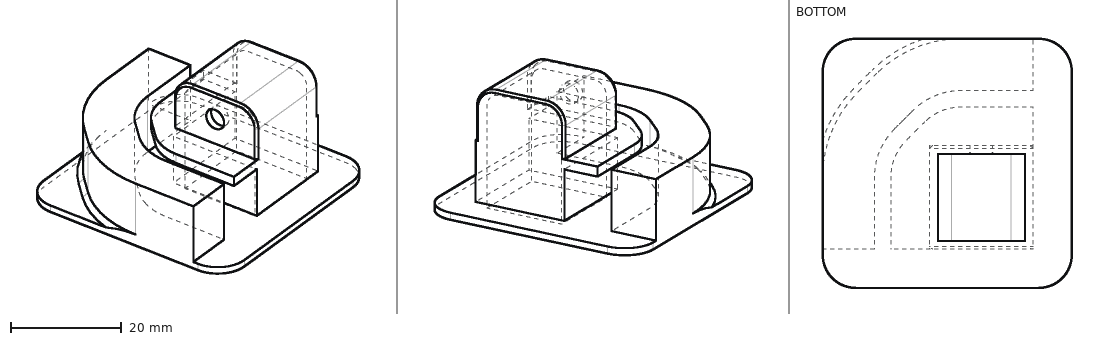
import cadquery as cq
import math

plate_size = 45
plate_corner_radius = 6.0
plate_thickness = 1.4

body_size = 38.0
body_top = 13.28
bend_start = 24.98
bend_radius = 21.6
flare_height = 1.0

rim_width = 9.35
slot_width = 2.95
lip_thickness = 1.95

block_size = 18.68
block_top = 23.7
block_corner_radius = 4.0
block_chamfer = 0.5
hole_diameter = 4.0
hole_height = 18.5
wall = 1.5

lip_inset = rim_width + slot_width
block_start = body_size - block_size
lip_bottom = body_top - lip_thickness


def bend_outline(inset, bottom):
    """Body outline moved inward by inset; its corner is two arcs joined by a 45 degree straight."""
    radius = bend_radius - inset
    diagonal = radius * math.sqrt(0.5)
    arc_middle = radius * math.cos(math.pi / 8)
    arc_rise = radius * math.sin(math.pi / 8)
    near = bend_radius - diagonal
    far = bend_start - diagonal
    return (
        cq.Workplane("XY", origin=(0, 0, bottom))
        .moveTo(body_size, body_size)
        .lineTo(inset, body_size)
        .lineTo(inset, bend_start)
        .threePointArc((bend_radius - arc_middle, bend_start - arc_rise), (near, far))
        .lineTo(far, near)
        .threePointArc((bend_start - arc_rise, bend_radius - arc_middle), (bend_start, inset))
        .lineTo(body_size, inset)
        .close()
    )


def bend_prism(inset, bottom, top):
    return bend_outline(inset, bottom).extrude(top - bottom)


def square_prism(start, size, bottom, top):
    return cq.Workplane("XY").box(size, size, top - bottom, centered=False).translate((start, start, bottom))


def make_plate():
    plate = square_prism(0, plate_size, 0, plate_thickness)
    return plate.edges("|Z").fillet(plate_corner_radius)


def make_flare():
    """Foot that widens downward around the bend, trimmed to the sides of the body."""
    foot = bend_outline(-flare_height, plate_thickness).extrude(flare_height, taper=45)
    return foot.intersect(square_prism(0, body_size, plate_thickness, body_top))


def make_slot():
    """Open slot that widens below the platform, leaving a core under the block."""
    cavity = bend_prism(rim_width, plate_thickness, body_top)
    platform = bend_prism(lip_inset, lip_bottom, body_top)
    core = square_prism(block_start, block_size, plate_thickness, body_top)
    return cavity.cut(platform).cut(core)


def make_block():
    block = square_prism(block_start, block_size, body_top, block_top)
    block = block.edges("|Y and >Z").fillet(block_corner_radius)
    return block.faces("<Y or >Y").edges("not <Z").chamfer(block_chamfer)


def make_hollow():
    """Hollow of even wall thickness, open through the underside of the plate."""
    hollow = square_prism(block_start + wall, block_size - 2 * wall, 0, block_top - wall)
    return hollow.edges("|Y and >Z").fillet(block_corner_radius - wall)


def make_hole():
    """Round hole through the front wall of the block into the hollow."""
    hole_x = block_start + block_size / 2
    hole = cq.Workplane("XZ", origin=(hole_x, block_start, hole_height)).circle(hole_diameter / 2)
    return hole.extrude(-2 * wall)


body = bend_prism(0, 0, body_top).union(make_flare()).cut(make_slot())
result = make_plate().union(body).union(make_block())
result = result.cut(make_hollow()).cut(make_hole())